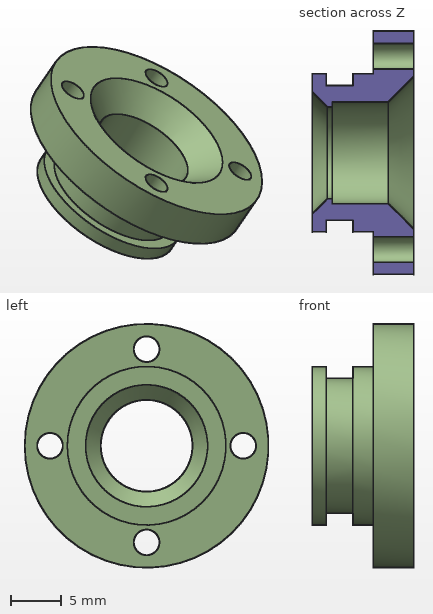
import cadquery as cq

lip_length = 1.4
groove_length = 2.6
shoulder_length = 2.0
flange_thickness = 4.0
spigot_length = lip_length + groove_length + shoulder_length
total_length = spigot_length + flange_thickness

flange_diameter = 24.0
spigot_diameter = 15.6
groove_diameter = 13.3
bore_diameter = 9.0
counterbore_diameter = 10.0

mouth_depth = 1.5
mouth_diameter = bore_diameter + 2 * mouth_depth

land_length = 0.5
counterbore_start = mouth_depth + land_length

outlet_length = 2.5
outlet_diameter = counterbore_diameter + 2 * outlet_length
outlet_start = total_length - outlet_length
counterbore_length = outlet_start - counterbore_start

mounting_hole_diameter = 2.5
mounting_circle_diameter = 19.0
mounting_hole_count = 4


def disc(start, length, diameter):
    """Solid cylinder along +X beginning at the given X position."""
    return cq.Workplane("YZ").workplane(offset=start).circle(diameter / 2).extrude(length)


def body():
    """Flange with a grooved spigot."""
    lip = disc(0, lip_length, spigot_diameter)
    groove = disc(lip_length, groove_length, groove_diameter)
    shoulder = disc(lip_length + groove_length, shoulder_length, spigot_diameter)
    flange = disc(spigot_length, flange_thickness, flange_diameter)
    return lip.union(groove).union(shoulder).union(flange)


def cone(start, length, start_diameter, end_diameter):
    """Solid cone frustum along +X beginning at the given X position."""
    end = start + length
    profile = [(start, 0), (start, start_diameter / 2), (end, end_diameter / 2), (end, 0)]
    return cq.Workplane("XY").polyline(profile).close().revolve(360, (0, 0, 0), (1, 0, 0))


def bore():
    """Narrow land flared conically at the spigot tip, with a flared counterbore behind it."""
    mouth = cone(0, mouth_depth, mouth_diameter, bore_diameter)
    land = disc(0, counterbore_start, bore_diameter)
    counterbore = disc(counterbore_start, counterbore_length, counterbore_diameter)
    outlet = cone(outlet_start, outlet_length, counterbore_diameter, outlet_diameter)
    return mouth.union(land).union(counterbore).union(outlet)


def mounting_holes():
    """Ring of holes through the flange."""
    return (
        cq.Workplane("YZ")
        .workplane(offset=spigot_length)
        .polarArray(mounting_circle_diameter / 2, 0, 360, mounting_hole_count)
        .circle(mounting_hole_diameter / 2)
        .extrude(flange_thickness)
    )


result = body().cut(bore()).cut(mounting_holes())